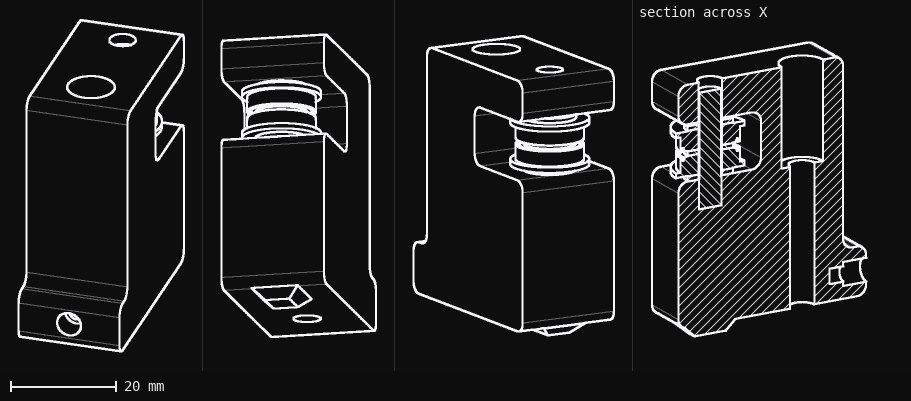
import cadquery as cq

HOUSING_WIDTH = 20.0
BODY_LENGTH = 36.0
BODY_HEIGHT = 48.65
FOOT_LENGTH = 5.0
FOOT_HEIGHT = 10.0
CORNER_RADIUS = 2.0

SLOT_DEPTH = 18.0
SLOT_HEIGHT = 11.35
ARM_THICKNESS = 8.0

BOSS_HEIGHT = 1.95
BOSS_TIP_WIDTH = 4.7
BOSS_TIP_LENGTH = 6.8
BOSS_FLARE = 4.25

PIN_DIAMETER = 4.7
PIN_CLEARANCE_DIAMETER = 5.0
PIN_SETBACK = 7.0
PIN_SINK = 2.0

BEARING_DIAMETER = 13.0
BEARING_WIDTH = 4.0
BEARING_CHAMFER = 0.1
FLANGE_DIAMETER = 15.0
FLANGE_THICKNESS = 1.0
SHIELD_GROOVE_OUTER_DIAMETER = 12.0
SHIELD_DIAMETER = 11.75
SHIELD_ROUNDING = 0.75

WASHER_DIAMETER = 10.0
WASHER_THICKNESS = 1.0
WASHER_CHAMFER = 0.1

BEARING_COUNT = 2
WASHER_COUNT = BEARING_COUNT + 1

SCREW_HOLE_DIAMETER = 5.2
COUNTERBORE_DIAMETER = 9.0
COUNTERBORE_DEPTH = 20.25
SCREW_SETBACK = 27.0

FOOT_HOLE_DIAMETER = 4.7
FOOT_HOLE_DEPTH = 5.0
FOOT_PILOT_DIAMETER = 3.0
FOOT_PILOT_DEPTH = 8.0
FOOT_HOLE_HEIGHT = 5.0

BODY_FRONT = -BODY_LENGTH
FOOT_FRONT = BODY_FRONT - FOOT_LENGTH
SLOT_TOP = BODY_HEIGHT - ARM_THICKNESS
SLOT_FLOOR = SLOT_TOP - SLOT_HEIGHT
PIN_TOP = BODY_HEIGHT - PIN_SINK
PIN_ENGAGEMENT = PIN_TOP - SLOT_TOP
PIN_BOTTOM = SLOT_FLOOR - PIN_ENGAGEMENT
STACK_PITCH = BEARING_WIDTH + WASHER_THICKNESS


def cylinder(diameter, bottom, height, y):
    """Upright cylinder on the X = 0 plane at the given Y."""
    return cq.Workplane("XY", origin=(0, y, bottom)).circle(diameter / 2).extrude(height)


def front_hole(diameter, depth):
    """Cutter for a hole going back from the front face of the foot."""
    plane = cq.Workplane("XZ", origin=(0, FOOT_FRONT, FOOT_HOLE_HEIGHT))
    return plane.circle(diameter / 2).extrude(-depth)


def make_boss():
    """Rectangular boss that narrows downward from the underside."""
    return (
        cq.Workplane("XY", origin=(0, -PIN_SETBACK, 0))
        .rect(BOSS_TIP_WIDTH + BOSS_FLARE, BOSS_TIP_LENGTH + BOSS_FLARE)
        .workplane(offset=-BOSS_HEIGHT)
        .rect(BOSS_TIP_WIDTH, BOSS_TIP_LENGTH)
        .loft()
    )


def make_housing():
    """Block with a roller slot, a front foot, the boss and all the holes."""
    outline = [
        (0, 0),
        (0, SLOT_FLOOR),
        (-SLOT_DEPTH, SLOT_FLOOR),
        (-SLOT_DEPTH, SLOT_TOP),
        (0, SLOT_TOP),
        (0, BODY_HEIGHT),
        (BODY_FRONT, BODY_HEIGHT),
        (BODY_FRONT, FOOT_HEIGHT),
        (FOOT_FRONT, FOOT_HEIGHT),
        (FOOT_FRONT, 0),
    ]
    body = (
        cq.Workplane("YZ")
        .polyline(outline)
        .close()
        .extrude(HOUSING_WIDTH / 2, both=True)
        .edges("|X")
        .fillet(CORNER_RADIUS)
        .union(make_boss())
    )
    pin_hole = cylinder(PIN_CLEARANCE_DIAMETER, SLOT_TOP, ARM_THICKNESS, -PIN_SETBACK).union(
        cylinder(PIN_DIAMETER, PIN_BOTTOM, PIN_ENGAGEMENT, -PIN_SETBACK)
    )
    counterbore_floor = BODY_HEIGHT - COUNTERBORE_DEPTH
    screw_hole = cylinder(SCREW_HOLE_DIAMETER, 0, BODY_HEIGHT, -SCREW_SETBACK).union(
        cylinder(COUNTERBORE_DIAMETER, counterbore_floor, COUNTERBORE_DEPTH, -SCREW_SETBACK)
    )
    foot_hole = front_hole(FOOT_HOLE_DIAMETER, FOOT_HOLE_DEPTH).union(
        front_hole(FOOT_PILOT_DIAMETER, FOOT_PILOT_DEPTH)
    )
    return body.cut(pin_hole).cut(screw_hole).cut(foot_hole)


def make_pin():
    """Plain axle pin, sunk below the top of the housing."""
    return cylinder(PIN_DIAMETER, PIN_BOTTOM, PIN_TOP - PIN_BOTTOM, -PIN_SETBACK)


def make_washer(bottom):
    """Flat washer with both outer rims chamfered."""
    disc = cylinder(WASHER_DIAMETER, bottom, WASHER_THICKNESS, -PIN_SETBACK)
    bore = cylinder(PIN_CLEARANCE_DIAMETER, bottom, WASHER_THICKNESS, -PIN_SETBACK)
    return disc.edges("%CIRCLE").chamfer(WASHER_CHAMFER).cut(bore)


def make_bearing(bottom, flange_on_top):
    """Flanged bearing; the face away from the flange has a groove around its rounded shield."""
    profile = [
        (PIN_CLEARANCE_DIAMETER / 2, 0),
        (FLANGE_DIAMETER / 2, 0),
        (FLANGE_DIAMETER / 2, FLANGE_THICKNESS),
        (BEARING_DIAMETER / 2, FLANGE_THICKNESS),
        (BEARING_DIAMETER / 2, BEARING_WIDTH - BEARING_CHAMFER),
        (BEARING_DIAMETER / 2 - BEARING_CHAMFER, BEARING_WIDTH),
        (SHIELD_GROOVE_OUTER_DIAMETER / 2, BEARING_WIDTH),
        (SHIELD_GROOVE_OUTER_DIAMETER / 2, BEARING_WIDTH - SHIELD_ROUNDING),
        (SHIELD_DIAMETER / 2, BEARING_WIDTH - SHIELD_ROUNDING),
    ]
    bearing = (
        cq.Workplane("XZ")
        .polyline(profile)
        .radiusArc((SHIELD_DIAMETER / 2 - SHIELD_ROUNDING, BEARING_WIDTH), -SHIELD_ROUNDING)
        .lineTo(PIN_CLEARANCE_DIAMETER / 2, BEARING_WIDTH)
        .close()
        .revolve(360, (0, 0, 0), (0, 1, 0))
    )
    if flange_on_top:
        bearing = bearing.mirror("XY").translate((0, 0, BEARING_WIDTH))
    return bearing.translate((0, -PIN_SETBACK, bottom))


housing = make_housing()
pin = make_pin()
washers = [make_washer(SLOT_FLOOR + i * STACK_PITCH) for i in range(WASHER_COUNT)]

bearings = [
    make_bearing(SLOT_FLOOR + WASHER_THICKNESS + i * STACK_PITCH, flange_on_top=(i > 0))
    for i in range(BEARING_COUNT)
]

result = cq.Compound.makeCompound(
    [
        housing.val(),
        pin.val(),
        *[washer.val() for washer in washers],
        *[bearing.val() for bearing in bearings],
    ]
)